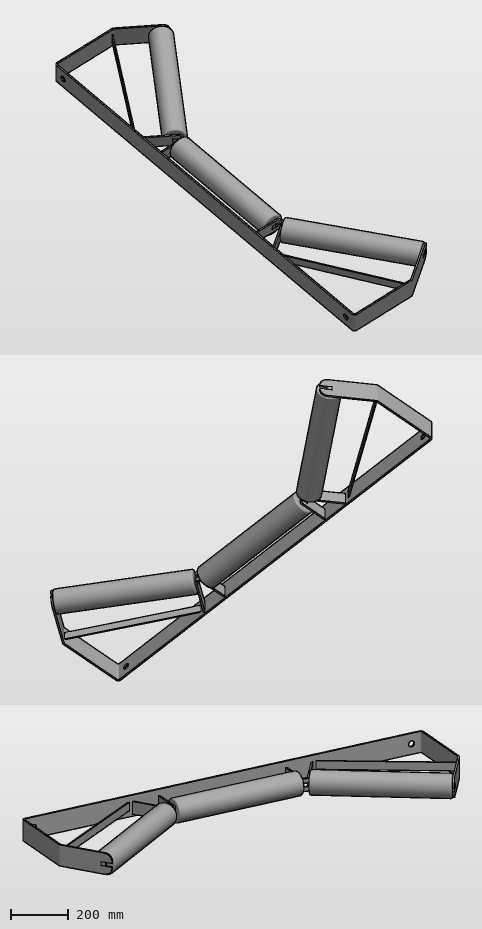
import cadquery as cq
import math

frame_height = 80.0
strip_thickness = 6.0
mid_height = frame_height / 2

frame_length = 1600.0
frame_bend_radius = 5.0
arm_length = 202.0
tip_radius = 29.0
mounting_hole_diameter = 22.0
mounting_hole_inset = 45.0

roller_diameter = 90.0
roller_edge_radius = 6.0
roller_length = 500.0
half_roller = roller_length / 2
roller_gap = 2.0
trough_angle = 35.0
forward_tilt = 0.75
center_roller_y = 100.0
side_roller_x = 493.0
side_roller_y = 256.0
side_roller_z = 35.0
center_roller_z = side_roller_z - half_roller * math.sin(math.radians(forward_tilt))

shaft_thickness = 15.0
shaft_depth = 18.0
shaft_length = roller_gap + strip_thickness
slot_reach = 16.0
slot_rise = 96.0

bracket_height = 48.0
bracket_bend_radius = 10.0
brace_height = 32.0
brace_thickness = 5.0
brace_wall_y = 262.0
brace_base_x = 373.0

half_length = frame_length / 2
trough = math.radians(trough_angle)
axis_direction = (math.cos(trough), math.sin(trough))
arm_direction = (-math.sin(trough), math.cos(trough))
support_offset = half_roller + roller_gap


def on_side_axis(distance):
    """Point on the right side roller axis, measured outwards from its middle."""
    return (
        side_roller_x + distance * axis_direction[0],
        side_roller_y + distance * axis_direction[1],
    )


def along(point, direction, distance):
    """Point reached from another by going a distance in a direction."""
    return (point[0] + distance * direction[0], point[1] + distance * direction[1])


def inset_path(path, distance):
    """Copy of an open path moved to its left, with mitred corners."""
    headings = [math.atan2(b[1] - a[1], b[0] - a[0]) for a, b in zip(path, path[1:])]
    before = [headings[0]] + headings
    after = headings + [headings[-1]]
    moved = []
    for point, start, end in zip(path, before, after):
        middle = (start + end) / 2
        miter = distance / math.cos((end - start) / 2)
        moved.append((point[0] - miter * math.sin(middle), point[1] + miter * math.cos(middle)))
    return moved


def bent_strip(outer, height, bend_radius):
    """Flat strip bent to the left along its outer face."""
    inner = inset_path(outer, strip_thickness)
    strip = cq.Workplane("XY").polyline(outer + inner[::-1]).close().extrude(height)
    for path, radius in ((outer, bend_radius + strip_thickness), (inner, bend_radius)):
        for x, y in path[1:-1]:
            corner = cq.selectors.NearestToPointSelector((x, y, height / 2))
            strip = strip.edges("|Z").edges(corner).fillet(radius)
    return strip


def mirrored(shape):
    """Copy on the opposite side of the middle plane."""
    return shape.mirror("YZ")


def place_side(shape):
    """Move a shape from the roller's own axes to the right side roller."""
    tilted = shape.rotate((0, 0, 0), (0, 1, 0), -forward_tilt)
    turned = tilted.rotate((0, 0, 0), (0, 0, 1), trough_angle)
    return turned.translate((side_roller_x, side_roller_y, side_roller_z))


def place_center(shape):
    """Move a shape from the roller's own axes to the centre roller."""
    return shape.translate((0, center_roller_y, center_roller_z))


def make_roller():
    """Roller along X, centred on the origin, with a flattened shaft end on both sides."""
    end_plane = cq.Workplane("YZ").workplane(offset=-half_roller)
    barrel = end_plane.circle(roller_diameter / 2).extrude(roller_length).edges().fillet(roller_edge_radius)
    shaft = cq.Workplane("XY").box(roller_length + 2 * shaft_length, shaft_depth, shaft_thickness)
    return barrel.union(shaft)


def make_slots():
    """Cutters for the open slots at both ends of a roller."""
    slot = cq.Workplane("XY").box(
        slot_reach, shaft_depth / 2 + slot_rise, shaft_thickness, centered=(False, False, True)
    )
    right = slot.translate((half_roller, -shaft_depth / 2, 0))
    return right.union(mirrored(right))


def round_tips(frame, tip):
    """Round the four corners of the arm tips, given the middle of the right tip edge."""
    for side in (-1, 1):
        for z in (0, frame_height):
            corner = cq.selectors.NearestToPointSelector((side * tip[0], tip[1], z))
            frame = frame.edges(corner).fillet(tip_radius)
    return frame


def make_frame(side_slots):
    """Base, end walls and roller arms bent from one strip."""
    arm_point = on_side_axis(support_offset + strip_thickness)
    bend_y = arm_point[1] - (half_length - arm_point[0]) / math.tan(trough)
    bend = (half_length, bend_y)
    tip = along(bend, arm_direction, arm_length)
    tip_center = along(tip, axis_direction, -strip_thickness / 2)
    right_half = [(half_length, 0), bend, tip]
    left_half = [(-x, y) for x, y in right_half[::-1]]
    frame = round_tips(bent_strip(left_half + right_half, frame_height, frame_bend_radius), tip_center)

    hole_x = half_length - mounting_hole_inset
    holes = (
        cq.Workplane("XZ")
        .pushPoints([(-hole_x, mid_height), (hole_x, mid_height)])
        .circle(mounting_hole_diameter / 2)
        .extrude(-strip_thickness)
    )
    return frame.cut(holes).cut(side_slots).cut(mirrored(side_slots))


def make_bracket(center_slots, side_slots):
    """Right V-shaped bracket standing on the frame base."""
    upright_x = half_roller + roller_gap
    leg_point = on_side_axis(-support_offset)
    apex_y = leg_point[1] + (leg_point[0] - upright_x) / math.tan(trough)
    foot_x = leg_point[0] + leg_point[1] * math.tan(trough)
    outline = [(foot_x, 0), (upright_x, apex_y), (upright_x, 0)]
    strip = bent_strip(outline, bracket_height, bracket_bend_radius)
    strip = strip.translate((0, 0, center_roller_z - bracket_height / 2))
    base = cq.Workplane("XY").box(
        frame_length, 2 * strip_thickness, frame_height, centered=(True, True, False)
    )
    return strip.cut(base).cut(center_slots).cut(side_slots)


def make_brace():
    """Right diagonal flat between the frame's end wall and its base."""
    wall_x = half_length - strip_thickness
    slope = math.atan2(brace_wall_y - strip_thickness, wall_x - brace_base_x)
    outline = [
        (brace_base_x, strip_thickness),
        (brace_base_x + brace_thickness / math.sin(slope), strip_thickness),
        (wall_x, brace_wall_y - brace_thickness / math.cos(slope)),
        (wall_x, brace_wall_y),
    ]
    start = mid_height - brace_height / 2
    return cq.Workplane("XY").workplane(offset=start).polyline(outline).close().extrude(brace_height)


side_slots = place_side(make_slots())
center_slots = place_center(make_slots())

frame = make_frame(side_slots)
center_roller = place_center(make_roller())
side_roller = place_side(make_roller())
bracket = make_bracket(center_slots, side_slots)
brace = make_brace()

bodies = [*frame.solids().vals(), *center_roller.solids().vals()]
for right_part in (side_roller, bracket, brace):
    for part in (right_part, mirrored(right_part)):
        bodies += part.solids().vals()

result = cq.Compound.makeCompound(bodies)